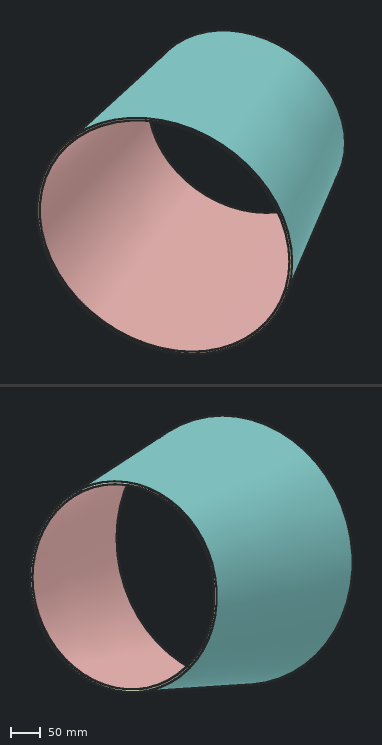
import cadquery as cq

wide_diameter = 460.0
narrow_diameter = 360.0
length = 381.0
wall = 5.0

wide_radius = wide_diameter / 2
narrow_radius = narrow_diameter / 2

wall_section = [
    (wide_radius - wall, 0),
    (wide_radius, 0),
    (narrow_radius, length),
    (narrow_radius - wall, length),
]

result = (
    cq.Workplane("XY")
    .polyline(wall_section)
    .close()
    .revolve(360, (0, 0, 0), (0, 1, 0))
)